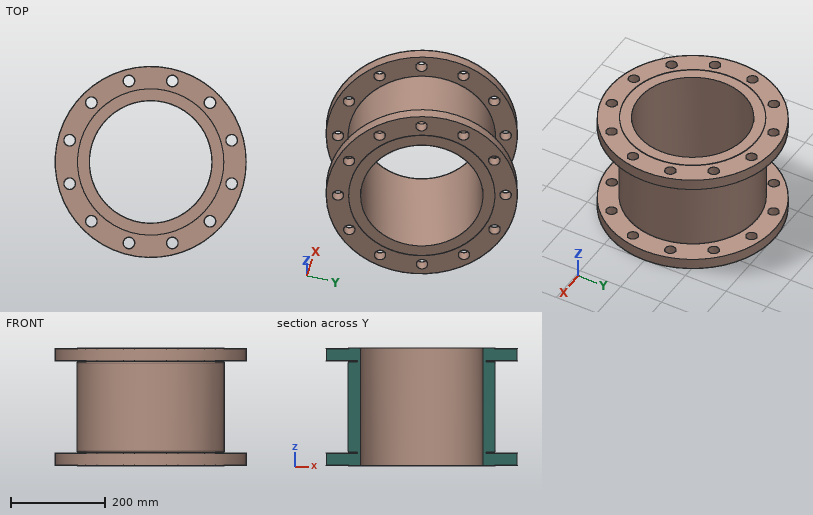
import cadquery as cq

flange_diameter = 405.0
total_height = 250.0

flange_thickness = 26.0
raised_face_height = 1.2
raised_face_diameter = 310.0

body_diameter = 312.5
body_end_radius = 3.2
neck_length = 1.5
neck_diameter = 273.0
bore_diameter = 259.0

bolt_hole_count = 12
bolt_hole_diameter = 24.0
bolt_circle_diameter = 355.0
first_hole_angle = 360 / bolt_hole_count / 2

flange_outer_height = total_height / 2 - raised_face_height
flange_inner_height = flange_outer_height - flange_thickness
body_end_height = flange_inner_height - neck_length


def centred_disc(diameter, half_height):
    """Solid cylinder about Z, centred on the middle plane."""
    return cq.Workplane("XY").workplane(offset=-half_height).circle(diameter / 2).extrude(2 * half_height)


def make_flange():
    """Upper flange plate with its raised face and ring of bolt holes."""
    base = cq.Workplane("XY").workplane(offset=flange_inner_height)
    plate = base.circle(flange_diameter / 2).extrude(flange_thickness)
    raised_face = base.circle(raised_face_diameter / 2).extrude(flange_thickness + raised_face_height)
    holes = (
        base.polarArray(bolt_circle_diameter / 2, first_hole_angle, 360, bolt_hole_count)
        .circle(bolt_hole_diameter / 2)
        .extrude(flange_thickness)
    )
    return plate.cut(holes).union(raised_face)


body = centred_disc(body_diameter, body_end_height).edges().fillet(body_end_radius)

necks = centred_disc(neck_diameter, flange_inner_height)

upper_flange = make_flange()
lower_flange = upper_flange.mirror("XY")
bore = centred_disc(bore_diameter, total_height / 2)

result = body.union(necks).union(upper_flange).union(lower_flange).cut(bore)